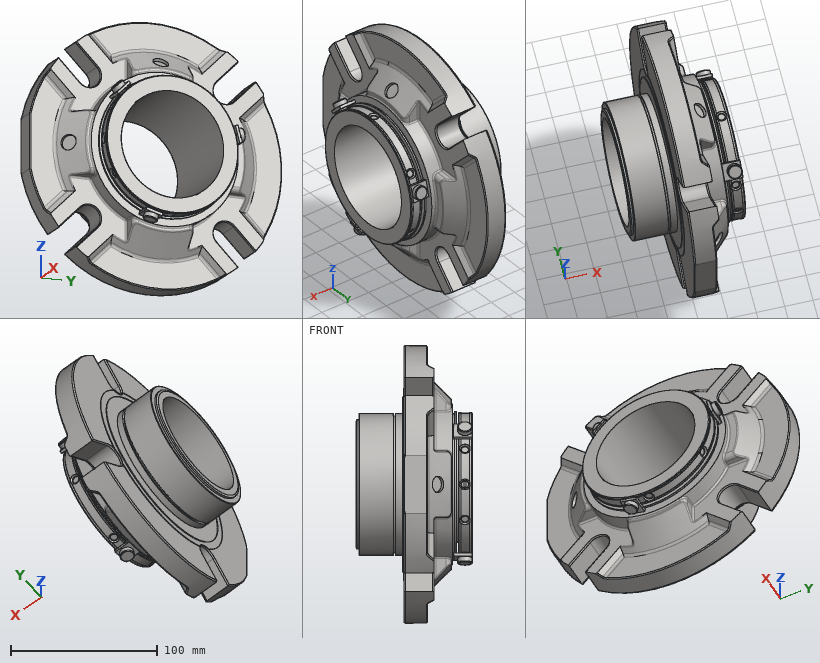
import cadquery as cq
import math

total_length = 79.7
nose_length = 1.9
nose_chamfer_length = 0.5
body_chamfer = 0.4
groove_start = 25.5
groove_end = 27.0
pilot_face = 31.8
gasket_face = 32.3
flange_front = 32.7
flange_back = 48.9
pad_face = 53.5
block_end = 65.3
short_block_end = 61.8
hub_end = 66.2
washer_start = 67.3
washer_end = 68.7
collar_start = 70.0
screw_x = 74.5
band_start = 71.7
band_end = 77.8

bore_diameter = 76.3
sleeve_diameter = 79.3
nose_tip_diameter = 85.8
nose_diameter = 88.8
groove_diameter = 93.8
body_diameter = 97.2
band_diameter = 97.8
collar_diameter = 98.4
washer_diameter = 99.9
pilot_diameter = 120.0
gasket_diameter = 131.3
washer_seat_diameter = 96.8
hub_diameter = 109.5
hub_cone_diameter = 140.0
flange_diameter = 190.2

tolerance = 0.01

flange_flat = 93.0
flange_chamfer_length = 1.1
flange_chamfer_depth = 0.5
pad_top_width = 39.5
pad_base_width = 48.0
slot_angles = [45, 135, 225, 315]
slot_width = 17.7
slot_center_radius = 72.1
flange_back_chamfer = 0.8
root_fillet = 3.5
root_limit_radius = 89.5

block_ends = {0: short_block_end, 90: block_end, 180: block_end, 270: block_end}
block_width = 45.7
block_corner = 3.8
block_edge_fillet = 1.1
recess_fillet = 1.3
port_diameter = 11.0
port_depth = 2.3
side_port_x = 56.1
top_port_x = 59.5

collar_chamfer = 0.5
screw_hole_diameter = 5.0
screw_hole_mouth = 7.2
screw_hole_depth = 1.7
screw_rim_depth = 0.5
screw_hole_bevel = 1.0
drive_slot_angle = 180
drive_slot_width = 1.1
drive_slot_length = 3.8
screw_hole_angles = [30, 90, 150, 180, 210, 270, 330]
clip_angles = [15, 135, 255]
clip_start = 66.8
clip_width = 12.5
clip_thickness = 2.0
clip_outer_radius = 52.3
clip_shank_diameter = 6.0
clip_head_diameter = 10.0
clip_head_radius = 56.1
clip_head_chamfer = 0.5


def ring(start, end, diameter):
    """Disc about the X axis between two stations."""
    return cq.Workplane("YZ").workplane(offset=start).circle(diameter / 2).extrude(end - start)


def turned(shape, angle):
    """Turn a shape made on the +Y side about X, from +Y toward +Z."""
    return shape.rotate((0, 0, 0), (1, 0, 0), angle)


def radial_pin(x, diameter, inner_radius, outer_radius):
    """Cylinder standing along +Y."""
    plane = cq.Plane(origin=(x, inner_radius, 0), xDir=(1, 0, 0), normal=(0, 1, 0))
    return cq.Workplane(plane).circle(diameter / 2).extrude(outer_radius - inner_radius)


def make_sleeve():
    nose_chamfer_depth = (nose_diameter - nose_tip_diameter) / 2
    nose = ring(0, nose_length, nose_diameter)
    nose = nose.faces("<X").chamfer(nose_chamfer_length, nose_chamfer_depth)
    body = ring(nose_length, pilot_face, body_diameter).faces("<X").chamfer(body_chamfer)
    groove = ring(groove_start, groove_end, flange_diameter).cut(
        ring(groove_start, groove_end, groove_diameter)
    )
    return nose.union(body.cut(groove)).union(ring(pilot_face, total_length, sleeve_diameter))


def make_pad_bar(angle):
    """Bar with sloping sides across the flange, forming two opposite pads."""
    bar = (
        cq.Workplane("XZ")
        .workplane(offset=-flange_diameter)
        .polyline([
            (flange_back, -pad_base_width / 2),
            (pad_face, -pad_top_width / 2),
            (pad_face, pad_top_width / 2),
            (flange_back, pad_base_width / 2),
        ])
        .close()
        .extrude(2 * flange_diameter)
    )
    return turned(bar, angle)


def slot_outline(start, widening):
    """Outline of an open-ended bolt slot running out along +Y, on the plane at one station."""
    half_width = slot_width / 2 + widening
    return (
        cq.Workplane("YZ")
        .workplane(offset=start)
        .moveTo(flange_diameter, -half_width)
        .lineTo(slot_center_radius, -half_width)
        .threePointArc((slot_center_radius - half_width, 0), (slot_center_radius, half_width))
        .lineTo(flange_diameter, half_width)
        .close()
    )


def make_slot():
    """Bolt slot with a bevel where it meets each face of the flange."""
    taper = math.degrees(math.atan2(flange_chamfer_depth, flange_chamfer_length))
    slot = slot_outline(0, 0).extrude(pad_face + flange_chamfer_length)
    front_bevel = slot_outline(flange_front, flange_chamfer_depth).extrude(
        flange_chamfer_length, taper=taper
    )
    back_bevel = slot_outline(pad_face, flange_chamfer_depth).extrude(
        -flange_chamfer_length, taper=taper
    )
    return slot.union(front_bevel).union(back_bevel)


def make_flange():
    rim = flange_diameter / 2
    flat = cq.Workplane("XY").box(total_length, rim, flange_diameter, centered=(False, False, True))
    between_pads = cq.Workplane("XY").box(
        pad_face - flange_back, 2 * flange_diameter, 2 * flange_diameter, centered=(False, True, True)
    )
    between_pads = between_pads.translate((flange_back, 0, 0))
    for angle in (45, 135):
        between_pads = between_pads.cut(make_pad_bar(angle))
    flange = ring(flange_front, pad_face, flange_diameter)
    flange = flange.cut(flat.translate((0, -flange_flat - rim, 0)))
    flange = flange.faces("<X").chamfer(flange_chamfer_length, flange_chamfer_depth)
    flange = flange.cut(between_pads)
    flange = flange.union(ring(pilot_face, flange_front, pilot_diameter))
    return flange.union(ring(gasket_face, flange_front, gasket_diameter))


def make_block_bar(angle, end):
    """Bar reaching out along +Y before it is turned, rounded at the corners of its end face."""
    bar = (
        cq.Workplane("XY")
        .box(end - flange_back, flange_diameter, block_width, centered=(False, False, True))
        .translate((flange_back, 0, 0))
        .faces(">X")
        .edges("|Y")
        .fillet(block_corner)
    )
    return turned(bar, angle)


def is_recess_edge(edge):
    """True for the edges where a recess meets the round hub or the sides of the blocks."""
    center = edge.Center()
    on_floor = abs(center.x - pad_face) < tolerance
    if edge.geomType() == "LINE":
        upright = abs(edge.tangentAt(0).x) > 1 - tolerance and center.x < block_end
        return on_floor or upright
    return on_floor and abs(edge.radius() - hub_diameter / 2) < tolerance


def make_hub():
    """Cone cut back between its four blocks to a round hub."""
    cone_radius = hub_cone_diameter / 2
    cone = (
        cq.Workplane("XY")
        .polyline([
            (flange_back, 0),
            (flange_back, cone_radius + pad_face - flange_back),
            (block_end, cone_radius + pad_face - block_end),
            (block_end, 0),
        ])
        .close()
        .revolve(360, (0, 0, 0), (1, 0, 0))
    )
    kept = ring(flange_back, pad_face, flange_diameter)
    for angle, end in block_ends.items():
        kept = kept.union(make_block_bar(angle, end))
    hub = cone.intersect(kept)
    hub = hub.union(ring(flange_back, hub_end, hub_diameter))
    recess_edges = hub.edges().filter(is_recess_edge)
    hub = recess_edges.fillet(recess_fillet)
    return hub.edges("%HYPERBOLA").fillet(block_edge_fillet)


def make_port(x):
    """Hole square to the sloping face of the +Y block."""
    radius = hub_cone_diameter / 2 + pad_face - x
    plane = cq.Plane(origin=(x, radius, 0), xDir=(0, 0, 1), normal=(1, 1, 0))
    return (
        cq.Workplane(plane)
        .workplane(offset=-port_depth)
        .circle(port_diameter / 2)
        .extrude(2 * port_depth)
    )


def make_collar():
    collar = ring(collar_start, total_length, collar_diameter).edges().chamfer(collar_chamfer)
    band = ring(band_start, band_end, flange_diameter).cut(ring(band_start, band_end, band_diameter))
    collar = collar.cut(band)
    band_radius = band_diameter / 2
    floor_radius = band_radius - screw_hole_depth
    hole = radial_pin(screw_x, screw_hole_diameter, floor_radius, collar_diameter)
    mouth = radial_pin(screw_x, screw_hole_mouth, floor_radius + screw_rim_depth, collar_diameter)
    mouth = mouth.faces("<Y").chamfer(screw_hole_bevel)
    for angle in screw_hole_angles:
        collar = collar.cut(turned(hole.union(mouth), angle))
    drive_slot = cq.Workplane("XY").box(drive_slot_width, 2 * drive_slot_width, drive_slot_length)
    drive_slot = drive_slot.translate((screw_x, floor_radius, 0))
    return collar.cut(turned(drive_slot, drive_slot_angle))


def make_clip():
    """Flat clip with a round-headed screw, standing along +Y."""
    plate = (
        cq.Workplane("XY")
        .box(total_length - clip_start, clip_thickness, clip_width, centered=(False, False, True))
        .translate((clip_start, clip_outer_radius - clip_thickness, 0))
    )
    shank = radial_pin(screw_x, clip_shank_diameter, sleeve_diameter / 2, clip_outer_radius)
    head = radial_pin(screw_x, clip_head_diameter, clip_outer_radius, clip_head_radius)
    head = head.faces(">Y").chamfer(clip_head_chamfer)
    return plate.union(shank).union(head)


def is_root_edge(edge):
    """True for the edges where the pads and the hub rise from the back of the flange."""
    center = edge.Center()
    on_flange_back = abs(center.x - flange_back) < tolerance
    return on_flange_back and math.hypot(center.y, center.z) < root_limit_radius


def is_rim_edge(edge):
    """True for the outer edges of the back of the flange."""
    center = edge.Center()
    on_flange_back = abs(center.x - flange_back) < tolerance
    return on_flange_back and math.hypot(center.y, center.z) > root_limit_radius


gland = make_flange().union(make_hub())
gland = gland.edges().filter(is_root_edge).fillet(root_fillet)
gland = gland.edges().filter(is_rim_edge).chamfer(flange_back_chamfer)
for angle in slot_angles:
    gland = gland.cut(turned(make_slot(), angle))
gland = gland.cut(turned(make_port(side_port_x), 180))
gland = gland.cut(turned(make_port(top_port_x), 90))

result = gland.union(make_sleeve())
result = result.union(ring(hub_end, washer_start, washer_seat_diameter))
result = result.union(ring(washer_start, washer_end, washer_diameter))
result = result.union(make_collar())
for angle in clip_angles:
    result = result.union(turned(make_clip(), angle))
result = result.cut(ring(0, total_length, bore_diameter))